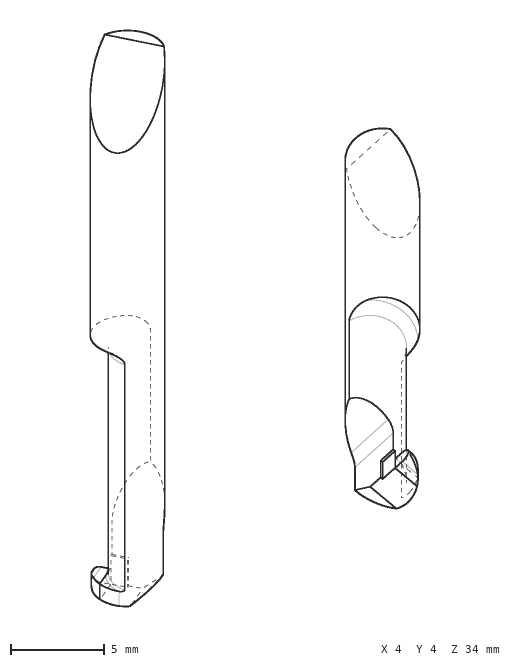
import cadquery as cq
import math

LENGTH = 34.0
SHANK_RADIUS = 2.0
MARGIN = 3.4
REACH = SHANK_RADIUS + MARGIN

BEVEL_ANGLE = 30.0
BEVEL_TOP_Y = 1.05

NECK_RADIUS = 1.97
NECK_CENTER_X = 1.003
NECK_LEFT_X = NECK_CENTER_X - NECK_RADIUS
NECK_TOP = 15.98
NECK_TOP_FILLET = 0.6

HEAD_TOP = 1.0
HEAD_FILLET = 0.15
NOSE_RADIUS = 0.48
HEAD_CHAMFER = 1.2
CHAMFER_START_X = SHANK_RADIUS - HEAD_CHAMFER
HEAD_BOTTOM_RISE = 0.07
WALL_RADIUS = 2.25
WALL_END_X = 0.25

FLAT_Y = 0.15
FLAT_RUNOUT_TOP = 7.07
FLAT_RUNOUT_ANGLE = 33.0
FLAT_FILLET = 2.05
RAKE_Y = 0.0
RAKE_TOP = 1.85


def make_shank():
    """Round bar with the slanted face cut at its upper end."""
    bar = cq.Workplane("XY").circle(SHANK_RADIUS).extrude(LENGTH)
    bevel_depth = (BEVEL_TOP_Y + REACH) / math.tan(math.radians(BEVEL_ANGLE))
    bevel = (
        cq.Workplane("YZ")
        .moveTo(BEVEL_TOP_Y, LENGTH)
        .lineTo(-REACH, LENGTH)
        .lineTo(-REACH, LENGTH - bevel_depth)
        .close()
        .extrude(REACH, both=True)
    )
    return bar.cut(bevel)


def make_neck_envelope():
    """Turned envelope, eccentric to the shank, with both neck fillets."""
    outer = NECK_RADIUS + REACH
    diagonal = math.sqrt(0.5)
    low_center = (NECK_RADIUS + HEAD_FILLET, HEAD_TOP + HEAD_FILLET)
    high_center = (NECK_RADIUS + NECK_TOP_FILLET, NECK_TOP - NECK_TOP_FILLET)
    low_middle = (low_center[0] - HEAD_FILLET * diagonal, low_center[1] - HEAD_FILLET * diagonal)
    high_middle = (
        high_center[0] - NECK_TOP_FILLET * diagonal,
        high_center[1] + NECK_TOP_FILLET * diagonal,
    )
    return (
        cq.Workplane("XZ")
        .moveTo(0, 0)
        .lineTo(outer, 0)
        .lineTo(outer, HEAD_TOP)
        .lineTo(low_center[0], HEAD_TOP)
        .threePointArc(low_middle, (NECK_RADIUS, low_center[1]))
        .lineTo(NECK_RADIUS, high_center[1])
        .threePointArc(high_middle, (high_center[0], NECK_TOP))
        .lineTo(outer, NECK_TOP)
        .lineTo(outer, LENGTH)
        .lineTo(0, LENGTH)
        .close()
        .revolve(360, (0, 0, 0), (0, 1, 0))
        .translate((NECK_CENTER_X, 0, 0))
    )


def make_head_envelope():
    """Outline across X and Z: rounded nose, sloping bottom and chamfer."""
    nose_center_x = NOSE_RADIUS - SHANK_RADIUS
    return (
        cq.Workplane("XZ")
        .moveTo(nose_center_x, 0)
        .lineTo(CHAMFER_START_X, HEAD_BOTTOM_RISE)
        .lineTo(SHANK_RADIUS, HEAD_CHAMFER)
        .lineTo(REACH, HEAD_CHAMFER)
        .lineTo(REACH, LENGTH)
        .lineTo(-REACH, LENGTH)
        .lineTo(-REACH, HEAD_TOP)
        .lineTo(nose_center_x, HEAD_TOP)
        .threePointArc((-SHANK_RADIUS, HEAD_TOP / 2), (nose_center_x, 0))
        .close()
        .extrude(REACH, both=True)
    )


def make_flat_cutter():
    """Flat along the +Y side of the neck with a rounded sloping runout."""
    slope = math.tan(math.radians(FLAT_RUNOUT_ANGLE))
    runout_bottom = FLAT_RUNOUT_TOP - (NECK_RADIUS - FLAT_Y) / slope
    runout_end = runout_bottom + (REACH - FLAT_Y) / slope
    cutter = (
        cq.Workplane("YZ")
        .moveTo(FLAT_Y, -MARGIN)
        .lineTo(FLAT_Y, runout_bottom)
        .lineTo(REACH, runout_end)
        .lineTo(REACH, -MARGIN)
        .close()
        .extrude(REACH, both=True)
    )
    corner = cq.selectors.NearestToPointSelector((0, FLAT_Y, runout_bottom))
    return cutter.edges(corner).fillet(FLAT_FILLET)


def make_rake_cutter():
    """Shallow recess on the nose side that sets the cutting face."""
    return cq.Workplane("XY").box(REACH, REACH, RAKE_TOP, centered=False).translate((-REACH, RAKE_Y, 0))


def make_flank_cutter():
    """Material outside the flatter curved wall behind the cutting edge."""
    wall_end_y = -math.sqrt(SHANK_RADIUS**2 - WALL_END_X**2)
    chord_x = WALL_END_X + SHANK_RADIUS
    chord = math.hypot(chord_x, wall_end_y)
    bulge = WALL_RADIUS - math.sqrt(WALL_RADIUS**2 - (chord / 2) ** 2)
    return (
        cq.Workplane("XY")
        .moveTo(-SHANK_RADIUS, 0)
        .sagittaArc((WALL_END_X, wall_end_y), -bulge)
        .lineTo(WALL_END_X, -REACH)
        .lineTo(-REACH, -REACH)
        .lineTo(-REACH, 0)
        .close()
        .extrude(RAKE_TOP)
    )


def make_tip_region():
    """Block holding the part of the head that projects past the neck."""
    return (
        cq.Workplane("XY")
        .box(REACH, 2 * REACH, RAKE_TOP, centered=False)
        .translate((NECK_LEFT_X - REACH, -REACH, 0))
    )


tool = make_shank().intersect(make_neck_envelope()).intersect(make_head_envelope())
tool = tool.cut(make_flat_cutter()).cut(make_rake_cutter()).cut(make_flank_cutter())

tip_region = make_tip_region()
cutting_tip = tool.intersect(tip_region)
holder = tool.cut(tip_region)

result = cq.Compound.makeCompound([holder.val(), cutting_tip.val()])